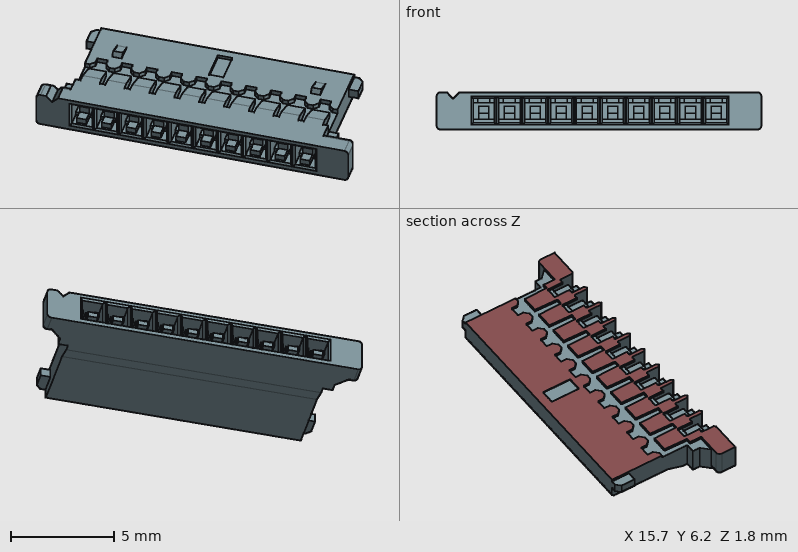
import cadquery as cq

CONTACTS = 10
CONTACT_SPAN = 11.25
PITCH = CONTACT_SPAN / (CONTACTS - 1)
LENGTH = 15.72
DEPTH = 6.2
HEIGHT = 1.8

BODY_WIDTH = 12.73
BODY_BOTTOM = 0.27
BODY_TOP = 1.54
FLOOR_Z = 1.3
UPPER_TAPER_Y = 2.03
LOWER_TAPER_Y = 2.1
TAPER_END_Y = 2.94
REAR_CHAMFER = 0.1

FLANGE_DEPTH = 1.0
FLANGE_FILLET = 0.2
NOTCH_X = -7.06
NOTCH_HALF_WIDTH = 0.3
NOTCH_DEPTH = 0.31

SHOULDER_WIDTH = 13.7
SHOULDER_Y = 1.8
SHOULDER_FLARE_Y = 1.41

GAP_END_Y = 1.65
FINGER_TIP_WIDTH = 0.9
FINGER_ROOT_WIDTH = 0.96
TOOTH_TIP_Y = 3.27
NOTCH_SHOULDER_Y = 3.49
NOTCH_END_Y = 3.8
TOOTH_NOTCH_WIDTH = 0.53
TOOTH_MOUTH_WIDTH = 0.97

POCKET_OFFSET = 0.05
POCKET_WIDTH = 1.02
POCKET_BOTTOM = 0.33
POCKET_TOP = 1.51
POCKET_LEAD_IN = 0.1
POCKET_DEPTH = 0.79
INNER_BOTTOM = 0.5
INNER_TOP = FLOOR_Z
INNER_DEPTH = 1.41
KEYWAY_DEPTH = GAP_END_Y
KEYWAY_WIDTH = 0.58
TONGUE_WIDTH = 0.49
TONGUE_FRONT_Y = 0.02
TONGUE_STEP_Y = 0.5
TONGUE_LOW_TOP = 0.79
TONGUE_HIGH_TOP = 1.13

LUG_SPAN = SHOULDER_WIDTH
LUG_LENGTH = 0.99
LUG_BOTTOM = 0.85
LUG_TOP = FLOOR_Z
LUG_CHAMFER = 0.24
BUMP_WIDTH = 0.49
BUMP_PITCHES = 4
BUMP_X = BUMP_PITCHES * PITCH
BUMP_FRONT_Y = 4.12
BUMP_PEAK_Y = 4.32
BUMP_REAR_Y = 5.03
BUMP_PEAK_Z = 1.75
RECESS_WIDTH = 0.74
RECESS_FRONT_Y = BUMP_FRONT_Y
RECESS_REAR_Y = 5.67
RECESS_DEPTH = 0.15

contact_xs = [(i - (CONTACTS - 1) / 2) * PITCH for i in range(CONTACTS)]


def box(x_center, width, y_min, y_max, z_min, z_max):
    size = (width, y_max - y_min, z_max - z_min)
    corner = (x_center - width / 2, y_min, z_min)
    return cq.Workplane("XY").box(*size, centered=False).translate(corner)


def side_prism(points, x_center, width):
    """Extrude a (y, z) outline along X, centred on x_center."""
    prism = cq.Workplane("YZ").polyline(points).close().extrude(width / 2, both=True)
    return prism.translate((x_center, 0, 0))


def plan_prism(points, z_min, z_max):
    """Extrude an (x, y) outline from z_min to z_max."""
    return cq.Workplane("XY", origin=(0, 0, z_min)).polyline(points).close().extrude(z_max - z_min)


def mirrored(half_points):
    """Close an outline by adding the mirror image of its +X half."""
    return half_points + [(-x, y) for x, y in reversed(half_points)]


def make_body():
    outline = [
        (0, 0),
        (LOWER_TAPER_Y, 0),
        (TAPER_END_Y, BODY_BOTTOM),
        (DEPTH - REAR_CHAMFER, BODY_BOTTOM),
        (DEPTH, BODY_BOTTOM + REAR_CHAMFER),
        (DEPTH, BODY_TOP - REAR_CHAMFER),
        (DEPTH - REAR_CHAMFER, BODY_TOP),
        (TOOTH_TIP_Y, BODY_TOP),
        (TOOTH_TIP_Y, FLOOR_Z),
        (TAPER_END_Y, FLOOR_Z),
        (TAPER_END_Y, BODY_TOP),
        (UPPER_TAPER_Y, HEIGHT),
        (0, HEIGHT),
    ]
    return side_prism(outline, 0, BODY_WIDTH)


def make_flange():
    flange = box(0, LENGTH, 0, FLANGE_DEPTH, 0, HEIGHT)
    flange = flange.edges("|Y or >Y").fillet(FLANGE_FILLET)
    notch = [
        (NOTCH_X - NOTCH_HALF_WIDTH, HEIGHT),
        (NOTCH_X, HEIGHT - NOTCH_DEPTH),
        (NOTCH_X + NOTCH_HALF_WIDTH, HEIGHT),
    ]
    return flange.cut(cq.Workplane("XZ").polyline(notch).close().extrude(-FLANGE_DEPTH))


def make_shoulders():
    half_width = SHOULDER_WIDTH / 2
    flare_start_y = FLANGE_DEPTH - FLANGE_FILLET
    flare_half_width = half_width + SHOULDER_FLARE_Y - flare_start_y
    half = [
        (flare_half_width, flare_start_y),
        (half_width, SHOULDER_FLARE_Y),
        (half_width, SHOULDER_Y),
    ]
    return plan_prism(mirrored(half), 0, FLOOR_Z)


def make_lugs():
    front_y = DEPTH - LUG_LENGTH
    lugs = box(0, LUG_SPAN, front_y, DEPTH, LUG_BOTTOM, LUG_TOP)
    return lugs.edges("|Z and >Y").chamfer(LUG_CHAMFER)


def make_bump(x_center):
    outline = [(BUMP_FRONT_Y, BODY_TOP), (BUMP_PEAK_Y, BUMP_PEAK_Z), (BUMP_REAR_Y, BODY_TOP)]
    return side_prism(outline, x_center, BUMP_WIDTH)


def make_finger_gaps():
    gaps = box(0, BODY_WIDTH, GAP_END_Y, TAPER_END_Y, FLOOR_Z, HEIGHT)
    finger = mirrored([(FINGER_ROOT_WIDTH / 2, GAP_END_Y), (FINGER_TIP_WIDTH / 2, TAPER_END_Y)])
    for x in contact_xs:
        gaps = gaps.cut(plan_prism(finger, FLOOR_Z, HEIGHT).translate((x, 0, 0)))
    return gaps


def make_tooth_notch(x_center):
    half = [
        (TOOTH_MOUTH_WIDTH / 2, TOOTH_TIP_Y),
        (TOOTH_NOTCH_WIDTH / 2, NOTCH_SHOULDER_Y),
        (TOOTH_NOTCH_WIDTH / 2, NOTCH_END_Y),
    ]
    return plan_prism(mirrored(half), FLOOR_Z, BODY_TOP).translate((x_center, 0, 0))


def make_pocket(x_center):
    """Stepped wire-entry cavity with a flared mouth, leaving a stepped tongue standing inside."""
    pocket = box(x_center, POCKET_WIDTH, 0, POCKET_DEPTH, POCKET_BOTTOM, POCKET_TOP)
    mouth = (
        cq.Workplane("XZ", origin=(x_center, 0, (POCKET_BOTTOM + POCKET_TOP) / 2))
        .rect(POCKET_WIDTH + 2 * POCKET_LEAD_IN, POCKET_TOP - POCKET_BOTTOM + 2 * POCKET_LEAD_IN)
        .workplane(offset=-POCKET_LEAD_IN)
        .rect(POCKET_WIDTH, POCKET_TOP - POCKET_BOTTOM)
        .loft()
    )
    inner = box(x_center, POCKET_WIDTH, 0, INNER_DEPTH, INNER_BOTTOM, INNER_TOP)
    keyway = box(x_center, KEYWAY_WIDTH, 0, KEYWAY_DEPTH, INNER_TOP, POCKET_TOP)
    low_tongue = box(x_center, TONGUE_WIDTH, TONGUE_FRONT_Y, INNER_DEPTH, INNER_BOTTOM, TONGUE_LOW_TOP)
    high_tongue = box(x_center, TONGUE_WIDTH, TONGUE_STEP_Y, INNER_DEPTH, INNER_BOTTOM, TONGUE_HIGH_TOP)
    return pocket.union(mouth).union(inner).union(keyway).cut(low_tongue).cut(high_tongue)


def make_recess():
    return box(0, RECESS_WIDTH, RECESS_FRONT_Y, RECESS_REAR_Y, BODY_TOP - RECESS_DEPTH, BODY_TOP)


housing = make_body().cut(make_finger_gaps())
housing = housing.union(make_flange()).union(make_shoulders()).union(make_lugs())
for side in (-1, 1):
    housing = housing.union(make_bump(side * BUMP_X))
for x in contact_xs:
    housing = housing.cut(make_tooth_notch(x)).cut(make_pocket(x + POCKET_OFFSET))
result = housing.cut(make_recess())